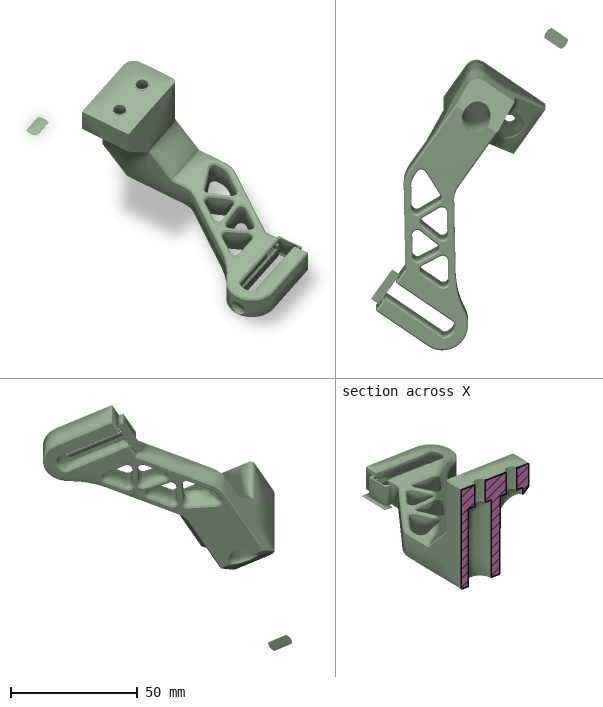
import cadquery as cq
import math

MOUNT_WIDTH = 21.9
MOUNT_DEPTH = 34.6
MOUNT_TOP = 45.26
MOUNT_FRONT_HEIGHT = 10.2
MOUNT_OVERHANG_HEIGHT = 14.3
MOUNT_BACK_LEFT_RADIUS = 5.0
MOUNT_BACK_RIGHT_RADIUS = 1.7

SCREW_X = 11.9
SCREW_YS = (-9.6, -25.7)
SCREW_DIAMETER = 5.01
SCREW_RIM_DIAMETER = 6.2
SCREW_RIM_HEIGHT = 0.2
SCREW_HEAD_DIAMETER = 11.4
SCREW_CLAMP_THICKNESS = 10.0

ARM_HEIGHT = 11.0
ARM_WIDTH = 19.8
ARM_ANGLE = math.radians(36)
ARM_BEND_X = 48.3
BACK_BEND_RADIUS = 12.0
FRONT_BEND_RADIUS = 10.0
EDGE_CHAMFER = 0.6
MOUNT_UNDERCUT = 12.2
ARM_RAMP_FOOT_X = 32.8
ARM_RAMP_TOP = ARM_RAMP_FOOT_X + ARM_HEIGHT

END_RADIUS = 10.2
END_X = 88.4
END_Y = -46.7
END_RIGHT_X = END_X + END_RADIUS
END_BACK_Y = -21.8
END_BLEND_RADIUS = 33.4
SLOT_WIDTH = 7.2
GROOVE_RADIUS = 4.8
GROOVE_FLOOR = 5.0
GROOVE_CEILING = 9.2
GROOVE_MOUTH_FLOOR = 7.2
GROOVE_BACK_WALL = 1.2
POCKET_LENGTH = 5.7
POCKET_HALF_WIDTH = 7.1
POCKET_CEILING = 7.0
MAGNET_DIAMETER = 6.2
MAGNET_DEPTH = 3.0
MAGNET_Z = 4.1

RAIL_WIDTH = 3.0
WEB_WIDTH = 2.1
OPENING_RADIUS = 2.0
OPENING_CHAMFER = 0.6
OPENING_TOP_LEFT_X = 40.0
OPENING_BOTTOM_LEFT_X = 47.3
NODE_XS = (46.0, 60.6, 62.0, 76.0)

FILM_THICKNESS = 0.2
PAD_WIDTH = 5.0
PAD_LENGTH = 9.4
PAD_CENTER_X = -32.69
PAD_CENTER_Y = -17.0
PAD_END_SAGITTA = 0.7
CLIP_BASE_WIDTH = 14.6
CLIP_BASE_BACK_Y = -17.4
CLIP_BASE_FRONT_Y = -21.06
CLIP_WIDTH = 10.5
CLIP_BACK_Y = -19.4
CLIP_BACK_THICKNESS = 0.5
CLIP_LEG_THICKNESS = 0.87
CLIP_HEIGHT = 8.8
CLIP_GUSSET = 1.0
CLIP_GUSSET_HEIGHT = 2.3

TOLERANCE = 0.01


def back_edge_y(x, inset=0):
    """Y of the arm's sloping back edge, moved into the arm by `inset`."""
    return (ARM_BEND_X - x) * math.tan(ARM_ANGLE) - inset / math.cos(ARM_ANGLE)


def front_edge_y(x, inset=0):
    """Y of the arm's sloping front edge, moved into the arm by `inset`."""
    return back_edge_y(x, ARM_WIDTH - inset)


def down_slope(start, distance):
    """The point `distance` away from `start` along the arm's sloping direction."""
    return (start[0] + distance * math.cos(ARM_ANGLE), start[1] - distance * math.sin(ARM_ANGLE))


def bend(inset, radius):
    """Start, middle and end of the arc from level to sloping, `inset` away from the back edge."""
    half_angle = ARM_ANGLE / 2
    tangent = radius * math.tan(half_angle)
    corner = (ARM_BEND_X - inset * math.tan(half_angle), -inset)
    start = (corner[0] - tangent, corner[1])
    middle = (start[0] + radius * math.sin(half_angle), start[1] - radius * (1 - math.cos(half_angle)))
    return start, middle, down_slope(corner, tangent)


def end_blend():
    """Start, middle and end of the arc from the front edge into the round end, tangent to both."""
    origin = (0, front_edge_y(0, -END_BLEND_RADIUS))
    dx = END_X - origin[0]
    dy = END_Y - origin[1]
    along = dx * math.cos(ARM_ANGLE) - dy * math.sin(ARM_ANGLE)
    across = dx * math.sin(ARM_ANGLE) + dy * math.cos(ARM_ANGLE)
    reach = math.sqrt((END_RADIUS + END_BLEND_RADIUS) ** 2 - across**2)
    center = down_slope(origin, along - reach)
    start_angle = math.pi / 2 - ARM_ANGLE
    end_angle = math.atan2(END_Y - center[1], END_X - center[0])

    def on_arc(angle):
        x = center[0] + END_BLEND_RADIUS * math.cos(angle)
        y = center[1] + END_BLEND_RADIUS * math.sin(angle)
        return (x, y)

    return on_arc(start_angle), on_arc((start_angle + end_angle) / 2), on_arc(end_angle)


def arm_blank():
    """The arm's plan outline, cut to its side profile: undercut, underside, top and ramp."""
    back_start, back_middle, back_end = bend(0, BACK_BEND_RADIUS)
    front_start, front_middle, front_end = bend(ARM_WIDTH, FRONT_BEND_RADIUS)
    blend_start, blend_middle, blend_end = end_blend()
    slope_end_x = ARM_BEND_X - END_BACK_Y / math.tan(ARM_ANGLE)
    plan = (
        cq.Workplane("XY")
        .lineTo(*back_start)
        .threePointArc(back_middle, back_end)
        .lineTo(slope_end_x, END_BACK_Y)
        .lineTo(END_RIGHT_X, END_BACK_Y)
        .lineTo(END_RIGHT_X, END_Y)
        .threePointArc((END_X, END_Y - END_RADIUS), blend_end)
        .threePointArc(blend_middle, blend_start)
        .lineTo(*front_end)
        .threePointArc(front_middle, front_start)
        .lineTo(0, -ARM_WIDTH)
        .close()
        .extrude(ARM_RAMP_TOP)
    )
    side_points = [
        (0, MOUNT_UNDERCUT),
        (MOUNT_UNDERCUT, 0),
        (END_RIGHT_X, 0),
        (END_RIGHT_X, ARM_HEIGHT),
        (ARM_RAMP_FOOT_X, ARM_HEIGHT),
        (0, ARM_RAMP_TOP),
    ]
    side = cq.Workplane("XZ").polyline(side_points).close().extrude(END_RADIUS - END_Y)
    return plan.intersect(side)


def slot_outline(height):
    """Slot's outline at the given height; its blind end is concentric with the groove's end."""
    half_width = SLOT_WIDTH / 2
    end_corner_y = END_Y - math.sqrt(GROOVE_RADIUS**2 - half_width**2)
    open_y = END_BACK_Y + SLOT_WIDTH
    return (
        cq.Workplane("XY", origin=(END_X, 0, height))
        .moveTo(-half_width, open_y)
        .lineTo(-half_width, end_corner_y)
        .threePointArc((0, END_Y - GROOVE_RADIUS), (half_width, end_corner_y))
        .lineTo(half_width, open_y)
        .close()
    )


def slot():
    """Through slot, open at the back, that flares at the top and the underside."""
    flare = 45
    straight = slot_outline(0).extrude(ARM_HEIGHT)
    top = slot_outline(ARM_HEIGHT - EDGE_CHAMFER).extrude(EDGE_CHAMFER, taper=-flare)
    underside = slot_outline(EDGE_CHAMFER).extrude(-EDGE_CHAMFER, taper=-flare)
    return straight.union(top).union(underside)


def is_rim(edge):
    """True for the outer edges of the arm's underside, top and ramp, but not for its creases."""
    box = edge.BoundingBox()
    middle = edge.Center()
    if box.zlen > TOLERANCE:
        return box.zmin > ARM_HEIGHT - TOLERANCE and box.xlen > TOLERANCE
    on_underside = abs(middle.z) < TOLERANCE and middle.x > MOUNT_UNDERCUT + TOLERANCE
    on_top = abs(middle.z - ARM_HEIGHT) < TOLERANCE and middle.x > ARM_RAMP_FOOT_X + TOLERANCE
    return on_underside or on_top


def box_between(x_range, y_range, z_range):
    """Box that fills the given ranges."""
    corner = (x_range[0], y_range[0], z_range[0])
    size = (x_range[1] - x_range[0], y_range[1] - y_range[0], z_range[1] - z_range[0])
    return cq.Workplane("XY").box(*size, centered=False).translate(corner)


def about_end(half_width):
    """X range of the given half width about the slot's centre line."""
    return (END_X - half_width, END_X + half_width)


def groove():
    """Groove in both slot walls, with a shallower mouth and a wider pocket just inside it."""
    inner_y = END_BACK_Y - GROOVE_BACK_WALL
    end = cq.Workplane("XY").center(END_X, END_Y).circle(GROOVE_RADIUS).extrude(GROOVE_CEILING - GROOVE_FLOOR)
    end = end.translate((0, 0, GROOVE_FLOOR))
    run = box_between(about_end(GROOVE_RADIUS), (END_Y, inner_y), (GROOVE_FLOOR, GROOVE_CEILING))
    mouth = box_between(about_end(GROOVE_RADIUS), (inner_y, END_BACK_Y), (GROOVE_MOUTH_FLOOR, GROOVE_CEILING))
    pocket_ys = (inner_y - POCKET_LENGTH, inner_y)
    pocket = box_between(about_end(POCKET_HALF_WIDTH), pocket_ys, (GROOVE_FLOOR, POCKET_CEILING))
    return end.union(run).union(mouth).union(pocket)


def magnet_recess():
    """Blind round recess in the front of the round end."""
    return (
        cq.Workplane("XZ", origin=(END_X, END_Y - END_RADIUS + MAGNET_DEPTH, MAGNET_Z))
        .circle(MAGNET_DIAMETER / 2)
        .extrude(MAGNET_DEPTH + END_RADIUS)
    )


def truss_nodes():
    """Points on the inner sides of the rails where the webs' centre lines meet."""
    front_first, back_first, front_second, back_second = NODE_XS
    return [
        (front_first, front_edge_y(front_first, RAIL_WIDTH)),
        (back_first, back_edge_y(back_first, RAIL_WIDTH)),
        (front_second, front_edge_y(front_second, RAIL_WIDTH)),
        (back_second, back_edge_y(back_second, RAIL_WIDTH)),
    ]


def shifted_line(start, end, distance):
    """The line from `start` to `end`, moved to its left by `distance`."""
    length = math.dist(start, end)
    dx = -(end[1] - start[1]) / length * distance
    dy = (end[0] - start[0]) / length * distance
    return (start[0] + dx, start[1] + dy), (end[0] + dx, end[1] + dy)


def meeting_point(first, second):
    """Where two lines, each given by two points, cross."""
    (x1, y1), (x2, y2) = first
    (x3, y3), (x4, y4) = second
    cross = (x2 - x1) * (y4 - y3) - (y2 - y1) * (x4 - x3)
    share = ((x3 - x1) * (y4 - y3) - (y3 - y1) * (x4 - x3)) / cross
    return (x1 + share * (x2 - x1), y1 + share * (y2 - y1))


def triangle_corners(sides):
    """Corners between each of three lines and the next one."""
    return [meeting_point(sides[i], sides[i - 1]) for i in range(len(sides))]


def curved_opening(first_web, back_rail):
    """Outline of the leftmost opening, which follows the arm's bend."""
    bend_start, bend_middle, bend_end = bend(RAIL_WIDTH, BACK_BEND_RADIUS - RAIL_WIDTH)
    web_side = shifted_line(*first_web, WEB_WIDTH / 2)
    left_side = ((OPENING_TOP_LEFT_X, -RAIL_WIDTH), (OPENING_BOTTOM_LEFT_X, -ARM_WIDTH))
    return (
        cq.Workplane("XY")
        .moveTo(*left_side[0])
        .lineTo(*bend_start)
        .threePointArc(bend_middle, bend_end)
        .lineTo(*meeting_point(back_rail, web_side))
        .lineTo(*meeting_point(left_side, web_side))
        .close()
    )


def rounded_openings():
    """The four openings between the rails, the webs and the two end walls."""
    nodes = truss_nodes()
    webs = list(zip(nodes, nodes[1:]))
    front_rail = (nodes[0], nodes[2])
    back_rail = (nodes[1], nodes[3])
    right_side = (nodes[3], (nodes[3][0], END_Y))
    half_web = WEB_WIDTH / 2
    triangles = [
        (shifted_line(*webs[0], -half_web), shifted_line(*webs[1], -half_web), front_rail),
        (shifted_line(*webs[1], half_web), shifted_line(*webs[2], half_web), back_rail),
        (shifted_line(*webs[2], -half_web), right_side, front_rail),
    ]
    outlines = [cq.Workplane("XY").polyline(triangle_corners(sides)).close() for sides in triangles]
    corner_edges = [outline.extrude(ARM_HEIGHT).edges("|Z") for outline in outlines]
    curved = curved_opening(webs[0], back_rail).extrude(ARM_HEIGHT)
    bend_start, _, bend_end = bend(RAIL_WIDTH, BACK_BEND_RADIUS - RAIL_WIDTH)
    smooth = [cq.selectors.NearestToPointSelector((*point, ARM_HEIGHT / 2)) for point in (bend_start, bend_end)]
    corner_edges.append(curved.edges(cq.selectors.StringSyntaxSelector("|Z") - smooth[0] - smooth[1]))
    return [edges.fillet(OPENING_RADIUS).val() for edges in corner_edges]


def is_opening_rim(edge, opening):
    """True for a level edge of the arm's top or underside that lies within the opening's outline."""
    box = edge.BoundingBox()
    outer = opening.BoundingBox()
    level = box.zlen < TOLERANCE and (abs(box.zmin) < TOLERANCE or abs(box.zmin - ARM_HEIGHT) < TOLERANCE)
    within_x = box.xmin > outer.xmin - TOLERANCE and box.xmax < outer.xmax + TOLERANCE
    within_y = box.ymin > outer.ymin - TOLERANCE and box.ymax < outer.ymax + TOLERANCE
    return level and within_x and within_y


def make_arm():
    """Arm with chamfered rims, truss openings, slot, groove and magnet recess."""
    arm = arm_blank().val()
    arm = arm.chamfer(EDGE_CHAMFER, None, [edge for edge in arm.Edges() if is_rim(edge)])
    for opening in rounded_openings():
        arm = arm.cut(opening)
        rims = [edge for edge in arm.Edges() if is_opening_rim(edge, opening)]
        arm = arm.chamfer(OPENING_CHAMFER, None, rims)
    return cq.Workplane(arm).cut(slot()).cut(groove()).cut(magnet_recess())


def mount_block():
    """Block above the undercut, with a sloping overhang in front of the arm."""
    overhang_top = MOUNT_TOP - MOUNT_FRONT_HEIGHT
    profile = [
        (0, MOUNT_UNDERCUT),
        (0, MOUNT_TOP),
        (-MOUNT_DEPTH, MOUNT_TOP),
        (-MOUNT_DEPTH, overhang_top),
        (-ARM_WIDTH, overhang_top - MOUNT_OVERHANG_HEIGHT),
        (-ARM_WIDTH, MOUNT_UNDERCUT),
    ]
    block = cq.Workplane("YZ").polyline(profile).close().extrude(MOUNT_WIDTH)
    return block.edges("|Z and >Y and >X").fillet(MOUNT_BACK_RIGHT_RADIUS)


def screw_cuts():
    """Screw holes with wide bores for the heads from below."""
    centers = [(SCREW_X, y) for y in SCREW_YS]
    top = MOUNT_TOP + SCREW_RIM_HEIGHT
    holes = cq.Workplane("XY").pushPoints(centers).circle(SCREW_DIAMETER / 2).extrude(top)
    heads = cq.Workplane("XY").pushPoints(centers).circle(SCREW_HEAD_DIAMETER / 2)
    return holes.union(heads.extrude(MOUNT_TOP - SCREW_CLAMP_THICKNESS))


def screw_rims():
    """Thin raised discs on top of the mount, which the screw holes turn into rings."""
    centers = [(SCREW_X, y) for y in SCREW_YS]
    discs = cq.Workplane("XY", origin=(0, 0, MOUNT_TOP)).pushPoints(centers)
    return discs.circle(SCREW_RIM_DIAMETER / 2).extrude(SCREW_RIM_HEIGHT)


def make_bracket():
    """Arm and mount in one piece."""
    bracket = make_arm().union(mount_block())
    bracket = bracket.edges("|Z and <X and >Y").fillet(MOUNT_BACK_LEFT_RADIUS)
    return bracket.union(screw_rims()).cut(screw_cuts())


def make_pad():
    """Thin pad with slightly bowed ends."""
    half_width = PAD_WIDTH / 2
    half_length = PAD_LENGTH / 2
    side = half_length - PAD_END_SAGITTA
    return (
        cq.Workplane("XY", origin=(PAD_CENTER_X, PAD_CENTER_Y, 0))
        .moveTo(-half_width, -side)
        .threePointArc((0, -half_length), (half_width, -side))
        .lineTo(half_width, side)
        .threePointArc((0, half_length), (-half_width, side))
        .close()
        .extrude(FILM_THICKNESS)
    )


def make_clip():
    """Thin base with an upright U whose legs reach the arm; its inner corners are filled near the top."""
    half_width = CLIP_WIDTH / 2
    inner_half = half_width - CLIP_LEG_THICKNESS
    inner_back_y = CLIP_BACK_Y - CLIP_BACK_THICKNESS
    base = box_between(
        about_end(CLIP_BASE_WIDTH / 2), (CLIP_BASE_FRONT_Y, CLIP_BASE_BACK_Y), (0, FILM_THICKNESS)
    )
    upright = box_between(about_end(half_width), (END_BACK_Y, CLIP_BACK_Y), (0, CLIP_HEIGHT))
    inside = box_between(about_end(inner_half), (END_BACK_Y, inner_back_y), (0, CLIP_HEIGHT))
    clip = base.union(upright.cut(inside))
    for side in (-1, 1):
        corner_x = END_X + side * inner_half
        gusset = (
            cq.Workplane("XY", origin=(0, 0, CLIP_HEIGHT - CLIP_GUSSET_HEIGHT))
            .moveTo(corner_x, inner_back_y)
            .lineTo(corner_x - side * CLIP_GUSSET, inner_back_y)
            .lineTo(corner_x, inner_back_y - CLIP_GUSSET)
            .close()
            .extrude(CLIP_GUSSET_HEIGHT)
        )
        clip = clip.union(gusset)
    return clip


bracket = make_bracket()
pad = make_pad()
clip = make_clip()

result = cq.Compound.makeCompound([bracket.val(), pad.val(), clip.val()])